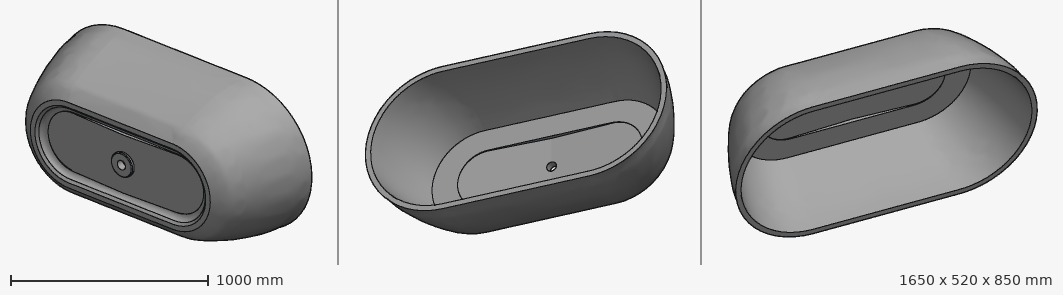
import cadquery as cq

LENGTH = 1650.0
WIDTH = 850.0
HEIGHT = 520.0
WALL = 30.0

END_SLOPE = 0.16
END_CURVE = 0.0003939
SIDE_CURVE = 0.0005333
ROUNDING_START = 445.0
END_ROUNDING = 0.009091
SIDE_ROUNDING = 0.006061

FOOT_RING = WALL
LIP_INSET = 45.0
LIP_DEPTH = 13.0
FLOOR_INSET = 80.0
FLOOR_DEPTH = 45.0
COVE_BULGE = 12.0
DRAIN_FLOOR_DEPTH = 23.0

DRAIN_RADIUS = 70.0
DRAIN_HEIGHT = 15.0
DRAIN_CHAMFER = 5.0
DRAIN_HOLE_RADIUS = 26.0

BASIN_DEPTH = HEIGHT - FLOOR_DEPTH - WALL
SHELL_STEPS = 6
ROUNDING_STEPS = 3


def shell_size(depth, inset=0.0):
    """Length and width of the shell outline at a depth below the rim."""
    rounding = max(0.0, depth - ROUNDING_START) ** 2
    end_inset = END_SLOPE * depth + END_CURVE * depth**2 + END_ROUNDING * rounding
    side_inset = SIDE_CURVE * depth**2 + SIDE_ROUNDING * rounding
    return LENGTH - 2 * (end_inset + inset), WIDTH - 2 * (side_inset + inset)


def oblong(depth, length, width):
    """Closed wire with straight sides and semicircular ends at a depth below the rim."""
    plane = cq.Plane(origin=(0, -depth, 0), xDir=(1, 0, 0), normal=(0, -1, 0))
    radius = width / 2
    straight = length / 2 - radius
    outline = (
        cq.Workplane(plane)
        .moveTo(-straight, -radius)
        .lineTo(straight, -radius)
        .threePointArc((straight + radius, 0), (straight, radius))
        .lineTo(-straight, radius)
        .threePointArc((-straight - radius, 0), (-straight, -radius))
        .close()
    )
    return outline.wire().val()


def loft(wires, ruled=False):
    return cq.Workplane(cq.Solid.makeLoft(wires, ruled))


def shell(depths, inset=0.0):
    return loft([oblong(d, *shell_size(d, inset)) for d in depths])


def foot_outline(depth, inset):
    """Foot outline inset by a distance, at a depth above the foot plane."""
    length, width = shell_size(HEIGHT, inset)
    return oblong(HEIGHT - depth, length, width)


def floor_slope(depth):
    """Two shallow slopes falling from the floor ends at a depth below the rim to the drain line."""
    drop = FLOOR_DEPTH - DRAIN_FLOOR_DEPTH
    length, width = shell_size(HEIGHT, FLOOR_INSET)
    wedge = (
        cq.Workplane("XY")
        .polyline([(-length / 2, -depth), (length / 2, -depth), (0, -depth - drop)])
        .close()
        .extrude(width / 2, both=True)
    )
    floor = loft([oblong(depth, length, width), oblong(depth + drop, length, width)], ruled=True)
    return wedge.intersect(floor)


def foot_recess():
    lip = loft([foot_outline(0, FOOT_RING), foot_outline(LIP_DEPTH, LIP_INSET)], ruled=True)
    middle_depth = (LIP_DEPTH + FLOOR_DEPTH) / 2
    middle_inset = (LIP_INSET + FLOOR_INSET) / 2 - COVE_BULGE
    cove = loft([
        foot_outline(LIP_DEPTH, LIP_INSET),
        foot_outline(middle_depth, middle_inset),
        foot_outline(FLOOR_DEPTH, FLOOR_INSET),
    ])
    return lip.union(cove).cut(floor_slope(HEIGHT - FLOOR_DEPTH))


main_depths = [ROUNDING_START * i / SHELL_STEPS for i in range(SHELL_STEPS + 1)]
rounding_height = HEIGHT - ROUNDING_START
rounding_depths = [
    ROUNDING_START + rounding_height * i / ROUNDING_STEPS for i in range(1, ROUNDING_STEPS + 1)
]
body = shell(main_depths + rounding_depths)

basin_depths = [BASIN_DEPTH * i / SHELL_STEPS for i in range(SHELL_STEPS + 1)]
basin = shell(basin_depths, WALL).union(floor_slope(BASIN_DEPTH))

drain_top = HEIGHT - FLOOR_DEPTH
drain_face = HEIGHT - DRAIN_FLOOR_DEPTH + DRAIN_HEIGHT
flange = (
    cq.Workplane("XZ", origin=(0, -drain_top, 0))
    .circle(DRAIN_RADIUS)
    .extrude(drain_face - drain_top)
    .faces("<Y")
    .chamfer(DRAIN_CHAMFER)
)
drain_hole = cq.Workplane("XZ").circle(DRAIN_HOLE_RADIUS).extrude(HEIGHT)

result = body.cut(foot_recess()).cut(basin).union(flange).cut(drain_hole)